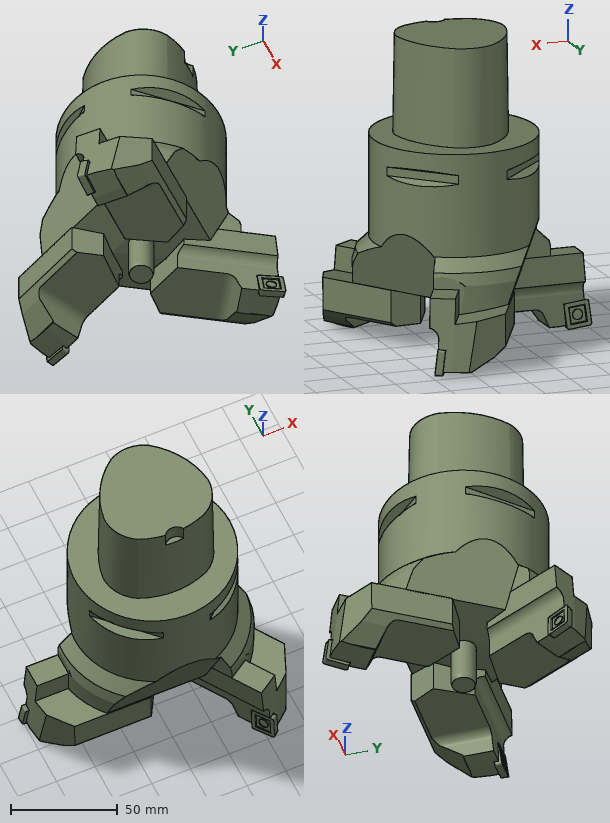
import cadquery as cq
import math

ARM_ANGLES = (180.0, 63.3, -56.7)

FLANGE_R = 40.0
NECK_Z = -50.0
SHOULDER_FRONT_Z = -75.8
SHOULDER_REAR_Z = -72.7
HEAD_PROFILE = ((46.2, -56.0), (47.8, -62.0), (47.4, SHOULDER_FRONT_Z))
SHANK_HEIGHT = 48.0
SHANK_R = 27.1
SHANK_TAPER = 0.7
LOBE = 1.7
LOBE_COUNT = 3
LOBE_HALF_ANGLE = 21.0
LOBE_DIRECTION = 90.0
KEYWAY_R = 5.5
KEYWAY_Y = -27.4
KEYWAY_DEPTH = 8.0
GRIP_COUNT = 4
GRIP_FLAT_R = 35.5
GRIP_MID_Z = -12.3
GRIP_FLAT_HEIGHT = 4.1
GRIP_MOUTH_HEIGHT = 8.6
GRIP_OVERCUT = 1.0
NOZZLE_D = 12.01
NOZZLE_END_Z = -98.0
NOZZLE_TIP_HEIGHT = 2.0
NOZZLE_TIP_INSET = 0.5
GULLET_TOP_Z = -41.0
GULLET_SLOPE = 1 / 3
RECESS_R = 46.7
REACH = 100.0

FRONT_Y = -4.8
LOWER_FRONT_Y = -0.6
KEY_BACK_Y = 7.2
REAR_Y = 30.0
KEY_TOP_Z = -63.75
GROOVE_TOP_Z = -77.9
GROOVE_BOTTOM_Z = -84.4
GROOVE_R = 5.5
REAR_BOTTOM_Z = -88.5
BACK_SLOPE = ((24.9, -93.1), (14.4, -99.2))
BELLY_Z = -90.5
TOE_Z = -99.8
TOE_TIP_Z = -98.4
HEEL_R = 40.0
TOE_INNER_R = 47.7
TOE_BEND_R = 53.0
OUTER_R = 70.0
HEEL_ARC_END = (45.2, -94.4)
HEEL_ARC_R = 5.2
LOW_Z = -100.0
OUTLINE_TOP = ((63.0, 8.3), (62.0, 18.9), (54.25, REAR_Y))
OUTLINE_LOW = ((66.2, 5.8), (65.1, 13.7), (54.0, REAR_Y))
INNER_TIP = (7.05, 16.9)
INNER_TIP_HALF_ANGLE = 60.0

INSERT_SIZE = 12.5
INSERT_THICKNESS = 3.6
INSERT_CORNER_R = 0.8
INSERT_TURN = 6.0
INSERT_LEAN = 6.0
INSERT_FLANK = 7.0
INSERT_CENTER = (61.7, -1.4, -94.5)
DISH_SIZE = 8.4
DISH_DEPTH = 0.4
INSERT_HOLE_D = 5.0
INSERT_HOLE_DEPTH = 0.8


def turned(shape, angle):
    return shape.rotate((0, 0, 0), (0, 0, 1), angle)


def trilobe(plane, radius):
    """Closed outline of lobe and flank arcs, with one lobe towards +Y."""

    def point(angle):
        r = radius + LOBE * math.cos(math.radians(LOBE_COUNT * (angle - LOBE_DIRECTION)))
        return (r * math.cos(math.radians(angle)), r * math.sin(math.radians(angle)))

    pitch = 360 / LOBE_COUNT
    outline = plane.moveTo(*point(LOBE_DIRECTION - LOBE_HALF_ANGLE))
    for i in range(LOBE_COUNT):
        middle = LOBE_DIRECTION + i * pitch
        outline = outline.threePointArc(point(middle), point(middle + LOBE_HALF_ANGLE))
        outline = outline.threePointArc(
            point(middle + pitch / 2), point(middle + pitch - LOBE_HALF_ANGLE)
        )
    return outline.close()


def make_shank():
    base = trilobe(cq.Workplane("XY"), SHANK_R)
    shank = trilobe(base.workplane(offset=SHANK_HEIGHT), SHANK_R - SHANK_TAPER).loft(ruled=True)
    keyway = (
        cq.Workplane("XY", origin=(0, KEYWAY_Y, SHANK_HEIGHT))
        .circle(KEYWAY_R)
        .extrude(-KEYWAY_DEPTH)
    )
    return shank.cut(keyway)


def make_head():
    return (
        cq.Workplane("XZ")
        .polyline([(0, 0), (FLANGE_R, 0), (FLANGE_R, NECK_Z), *HEAD_PROFILE, (0, SHOULDER_FRONT_Z)])
        .close()
        .revolve(360, (0, 0), (0, 1))
    )


def grip_groove():
    """Tapered straight groove across the flange rim."""
    mouth = FLANGE_R + GRIP_OVERCUT
    flat = GRIP_FLAT_HEIGHT / 2
    wide = GRIP_MOUTH_HEIGHT / 2
    return (
        cq.Workplane("XZ", origin=(0, 0, GRIP_MID_Z))
        .polyline([(GRIP_FLAT_R, flat), (mouth, wide), (mouth, -wide), (GRIP_FLAT_R, -flat)])
        .close()
        .extrude(FLANGE_R, both=True)
    )


def inner_corner(y):
    """Point on the pointed inner end of a slide at the given y."""
    tip_r, tip_y = INNER_TIP
    return (tip_r + abs(y - tip_y) / math.tan(math.radians(INNER_TIP_HALF_ANGLE)), y)


def slide_seat():
    """Everything under one arm's sloping seat, with the slot for its key."""
    shoulder = (
        cq.Workplane("YZ", origin=(-FLANGE_R / 2, 0, 0))
        .moveTo(KEY_BACK_Y, LOW_Z)
        .lineTo(KEY_BACK_Y, SHOULDER_FRONT_Z)
        .lineTo(REAR_Y, SHOULDER_REAR_Z)
        .lineTo(REAR_Y, LOW_Z)
        .close()
        .extrude(REACH)
    )
    key_slot = (
        cq.Workplane("XY", origin=(0, 0, KEY_TOP_Z))
        .polyline(
            [inner_corner(FRONT_Y), inner_corner(KEY_BACK_Y), (REACH, KEY_BACK_Y), (REACH, FRONT_Y)]
        )
        .close()
        .extrude(LOW_Z - KEY_TOP_Z)
    )
    return shoulder.union(key_slot)


def chip_gullet(angle, neighbour_angle):
    """Space behind one arm, under a slanted face and up to the front plane of the next arm."""
    slanted = (
        cq.Workplane("YZ")
        .moveTo(FLANGE_R, GULLET_TOP_Z)
        .lineTo(FLANGE_R - REACH * GULLET_SLOPE, GULLET_TOP_Z - REACH)
        .lineTo(REACH, GULLET_TOP_Z - REACH)
        .lineTo(REACH, GULLET_TOP_Z)
        .close()
        .extrude(REACH, both=True)
    )
    in_front = cq.Workplane("XY").box(
        2 * REACH, REACH, 3 * REACH, centered=(True, False, True)
    ).translate((0, FRONT_Y - REACH, 0))
    return turned(slanted, angle).intersect(turned(in_front, neighbour_angle))


def arm_recess():
    """Flat on the rim above the key."""
    return cq.Workplane("XY").box(
        RECESS_R, FLANGE_R, FLANGE_R, centered=(False, True, True)
    ).translate((RECESS_R, 0, KEY_TOP_Z))


def make_nozzle():
    radius = NOZZLE_D / 2
    tip_r = radius - NOZZLE_TIP_INSET
    return (
        cq.Workplane("XZ")
        .moveTo(0, GULLET_TOP_Z)
        .lineTo(radius, GULLET_TOP_Z)
        .lineTo(radius, NOZZLE_END_Z + NOZZLE_TIP_HEIGHT)
        .lineTo(tip_r, NOZZLE_END_Z)
        .lineTo(0, NOZZLE_END_Z)
        .close()
        .revolve(360, (0, 0), (0, 1))
    )


def make_adapter():
    adapter = make_head().union(make_shank())
    for i in range(GRIP_COUNT):
        adapter = adapter.cut(turned(grip_groove(), 360 / GRIP_COUNT * (i + 0.5)))
    for i, angle in enumerate(ARM_ANGLES):
        adapter = adapter.cut(turned(slide_seat(), angle))
        adapter = adapter.cut(chip_gullet(angle, ARM_ANGLES[i - 1]))
        adapter = adapter.cut(turned(arm_recess(), angle))
    return adapter.union(make_nozzle())


def outline_wire(plane, corners):
    return plane.polyline(
        [
            inner_corner(FRONT_Y),
            (corners[0][0], FRONT_Y),
            *corners,
            inner_corner(REAR_Y),
            INNER_TIP,
        ]
    ).close()


def slide_plan():
    """Plan shape with the outer faces leaning outwards towards the tip."""
    top = outline_wire(cq.Workplane("XY", origin=(0, 0, KEY_TOP_Z)), OUTLINE_TOP)
    return outline_wire(top.workplane(offset=LOW_Z - KEY_TOP_Z), OUTLINE_LOW).loft(ruled=True)


def slide_elevation():
    """Side shape: flat belly and a toe that reaches down to the insert."""
    return (
        cq.Workplane("XZ")
        .moveTo(0, KEY_TOP_Z)
        .lineTo(0, BELLY_Z)
        .lineTo(HEEL_R, BELLY_Z)
        .radiusArc(HEEL_ARC_END, HEEL_ARC_R)
        .lineTo(TOE_INNER_R, TOE_Z)
        .lineTo(TOE_BEND_R, TOE_Z)
        .lineTo(OUTER_R, TOE_TIP_Z)
        .lineTo(OUTER_R, KEY_TOP_Z)
        .close()
        .extrude(REACH, both=True)
    )


def slide_section():
    """Cross shape: key, sloping shoulder, chamfered back and the groove in the front face."""
    return (
        cq.Workplane("YZ")
        .moveTo(FRONT_Y, KEY_TOP_Z)
        .lineTo(KEY_BACK_Y, KEY_TOP_Z)
        .lineTo(KEY_BACK_Y, SHOULDER_FRONT_Z)
        .lineTo(REAR_Y, SHOULDER_REAR_Z)
        .lineTo(REAR_Y, REAR_BOTTOM_Z)
        .lineTo(*BACK_SLOPE[0])
        .lineTo(*BACK_SLOPE[1])
        .lineTo(BACK_SLOPE[1][0], LOW_Z)
        .lineTo(LOWER_FRONT_Y, LOW_Z)
        .lineTo(LOWER_FRONT_Y, GROOVE_BOTTOM_Z)
        .radiusArc((FRONT_Y, GROOVE_TOP_Z), -GROOVE_R)
        .close()
        .extrude(REACH)
    )


def insert_plane(depth=0.0):
    lean = math.radians(INSERT_LEAN)
    normal = cq.Vector(0, -math.cos(lean), math.sin(lean))
    origin = cq.Vector(*INSERT_CENTER) - normal * depth
    plane = cq.Plane(origin=origin, xDir=(1, 0, 0), normal=normal)
    return cq.Workplane(plane.rotated((0, 0, INSERT_TURN)))


def insert_pocket():
    return (
        insert_plane(INSERT_THICKNESS)
        .rect(INSERT_SIZE, INSERT_SIZE)
        .extrude(2 * INSERT_THICKNESS)
    )


def make_slide():
    return slide_plan().intersect(slide_elevation()).intersect(slide_section()).cut(insert_pocket())


def make_insert():
    """Square insert with relieved flanks, a dished face and a screw hole."""
    back_size = INSERT_SIZE - 2 * INSERT_THICKNESS * math.tan(math.radians(INSERT_FLANK))
    blank = (
        insert_plane(INSERT_THICKNESS)
        .sketch()
        .rect(back_size, back_size)
        .vertices()
        .fillet(INSERT_CORNER_R)
        .finalize()
        .extrude(INSERT_THICKNESS, taper=-INSERT_FLANK)
    )
    floor_size = DISH_SIZE - 2 * DISH_DEPTH
    dish = insert_plane(DISH_DEPTH).rect(floor_size, floor_size).workplane(offset=DISH_DEPTH)
    dish = dish.rect(DISH_SIZE, DISH_SIZE).loft(ruled=True)
    hole = insert_plane().circle(INSERT_HOLE_D / 2).extrude(-INSERT_HOLE_DEPTH)
    return blank.cut(dish).cut(hole)


adapter = make_adapter()
slides = [turned(make_slide(), angle) for angle in ARM_ANGLES]
inserts = [turned(make_insert(), angle) for angle in ARM_ANGLES]

result = cq.Compound.makeCompound(
    [adapter.val(), *[slide.val() for slide in slides], *[insert.val() for insert in inserts]]
)